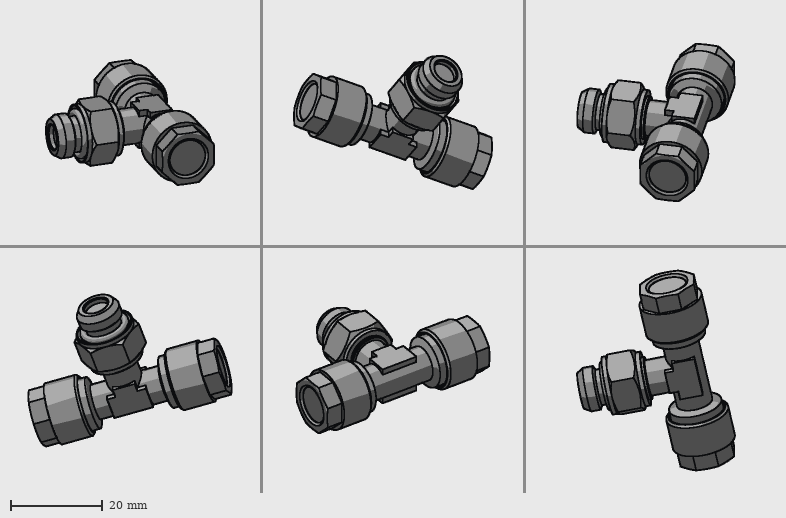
import cadquery as cq
import math

overall_length = 43.2
half_length = overall_length / 2
tube_radius = 8.0 / 2
tube_half_length = half_length / 2

pad_reach = 4.5
pad_half_width = 2.55

octagon_sides = 8
octagon_flats = 12.1
octagon_length = 3.95
octagon_chamfer_radius = 5.88
octagon_chamfer_angle = 15.0
sleeve_radius = 7.0
sleeve_length = 7.55
sleeve_chamfer = 0.5
collar_radius = 5.9
collar_length = 1.6
collar_edge_length = 0.28
collar_edge_depth = 0.55
collar_edge_radius = 1.2
collar_cone_angle = 15.0
sleeve_recess_radius = 6.2
sleeve_recess_depth = 1.3
socket_radius = 4.15
socket_depth = 0.6
socket_rounding = 0.5

branch_end = 23.9
step_ring_start = 8.7
step_ring_radius = 4.8
step_ring_chamfer = 0.17
washer_start = 9.37
washer_radius = 6.05
hex_start = 10.4
hex_end = 16.85
hex_sides = 6
hex_flats = 12.95
hex_chamfer_angle = 30.0
flange_radius = hex_flats / 2
flange_end = 17.9
seal_section_radius = 1.6 / 2
seal_recess_radius = 6.18
seal_recess_depth = 0.7
seal_recess_angle = 40.0
thread_start = 19.85
thread_radius = 9.8 / 2
thread_start_chamfer = 0.48
tip_chamfer_length = 1.45
tip_radius = 4.0
port_radius = 2.7
port_depth = 1.3
port_chamfer = 0.25


def revolve_about_x(profile):
    """Revolve an XY profile a full turn about the X axis."""
    return profile.close().revolve(360, (0, 0, 0), (1, 0, 0))


def revolve_about_y(profile):
    """Revolve an XY profile a full turn about the Y axis."""
    return profile.close().revolve(360, (0, 0, 0), (0, 1, 0))


def make_pads():
    """T-shaped block whose flat faces stand above and below the tubes."""
    run_pad = cq.Workplane("XY").box(2 * pad_reach, 2 * pad_half_width, 2 * pad_reach)
    branch_pad = cq.Workplane("XY", origin=(0, -pad_reach / 2, 0)).box(
        2 * pad_half_width, pad_reach, 2 * pad_reach
    )
    return run_pad.union(branch_pad)


def make_octagon():
    """Octagonal nut end with its outer corners turned off by a cone."""
    octagon_start = half_length - octagon_length
    corner_diameter = octagon_flats / math.cos(math.pi / octagon_sides)
    octagon = (
        cq.Workplane("YZ", origin=(octagon_start, 0, 0))
        .transformed(rotate=(0, 0, 180 / octagon_sides))
        .polygon(octagon_sides, corner_diameter)
        .extrude(octagon_length)
    )
    cone_radius = octagon_chamfer_radius + octagon_length / math.tan(math.radians(octagon_chamfer_angle))
    cone = revolve_about_x(
        cq.Workplane("XY")
        .moveTo(octagon_start, 0)
        .lineTo(octagon_start, cone_radius)
        .lineTo(half_length, octagon_chamfer_radius)
        .lineTo(half_length, 0)
    )
    return octagon.intersect(cone)


def make_run_end():
    """Collar, sleeve and octagonal nut on the +X end of the run."""
    sleeve_outer = half_length - octagon_length
    sleeve_inner = sleeve_outer - sleeve_length
    recess_floor = sleeve_inner + sleeve_recess_depth
    collar_edge_end = sleeve_inner - collar_length
    cone_outer_radius = collar_radius - collar_edge_depth
    cone_length = (cone_outer_radius - tube_radius) * math.tan(math.radians(collar_cone_angle))
    edge_start = collar_edge_end - collar_edge_length
    turned = revolve_about_x(
        cq.Workplane("XY")
        .moveTo(edge_start - cone_length, 0)
        .lineTo(edge_start - cone_length, tube_radius)
        .lineTo(edge_start, cone_outer_radius)
        .radiusArc((collar_edge_end, collar_radius), collar_edge_radius)
        .lineTo(recess_floor, collar_radius)
        .lineTo(recess_floor, sleeve_recess_radius)
        .lineTo(sleeve_inner, sleeve_recess_radius)
        .lineTo(sleeve_inner, sleeve_radius - sleeve_chamfer)
        .lineTo(sleeve_inner + sleeve_chamfer, sleeve_radius)
        .lineTo(sleeve_outer, sleeve_radius)
        .lineTo(sleeve_outer, 0)
    )
    socket_floor = half_length - socket_depth
    socket = revolve_about_x(
        cq.Workplane("XY")
        .moveTo(half_length, 0)
        .lineTo(half_length, socket_radius + socket_rounding)
        .radiusArc((half_length - socket_rounding, socket_radius), -socket_rounding)
        .lineTo(socket_floor, socket_radius)
        .lineTo(socket_floor, 0)
    )
    return turned.union(make_octagon()).cut(socket)


def make_hex():
    """Hexagonal nut of the branch, corners turned off by a cone at each end."""
    slope = math.tan(math.radians(hex_chamfer_angle))
    corner_radius = hex_flats / 2 / math.cos(math.pi / hex_sides)
    first_cone_length = (corner_radius - washer_radius) * slope
    second_cone_length = (corner_radius - flange_radius) * slope
    hexagon = (
        cq.Workplane("XZ", origin=(0, -hex_start, 0))
        .polygon(hex_sides, 2 * corner_radius)
        .extrude(hex_end - hex_start)
    )
    envelope = revolve_about_y(
        cq.Workplane("XY")
        .moveTo(0, -hex_start)
        .lineTo(washer_radius, -hex_start)
        .lineTo(corner_radius, -hex_start - first_cone_length)
        .lineTo(corner_radius, -hex_end + second_cone_length)
        .lineTo(flange_radius, -hex_end)
        .lineTo(0, -hex_end)
    )
    return hexagon.intersect(envelope)


def make_branch():
    """Washers, hexagon, seal and threaded tip along the -Y branch."""
    seal_centre_radius = tube_radius + seal_section_radius
    seal_tip = flange_end + seal_section_radius
    recess_floor = flange_end - seal_recess_depth
    recess_floor_radius = seal_recess_radius - seal_recess_depth * math.tan(math.radians(seal_recess_angle))
    seal_foot_radius = seal_centre_radius + math.sqrt(seal_section_radius**2 - seal_recess_depth**2)
    turned = revolve_about_y(
        cq.Workplane("XY")
        .moveTo(0, 0)
        .lineTo(tube_radius, 0)
        .lineTo(tube_radius, -step_ring_start)
        .lineTo(step_ring_radius - step_ring_chamfer, -step_ring_start)
        .lineTo(step_ring_radius, -step_ring_start - step_ring_chamfer)
        .lineTo(step_ring_radius, -washer_start)
        .lineTo(washer_radius, -washer_start)
        .lineTo(washer_radius, -hex_end)
        .lineTo(flange_radius, -hex_end)
        .lineTo(flange_radius, -flange_end)
        .lineTo(seal_recess_radius, -flange_end)
        .lineTo(recess_floor_radius, -recess_floor)
        .lineTo(seal_foot_radius, -recess_floor)
        .threePointArc((seal_centre_radius, -seal_tip), (tube_radius, -flange_end))
        .lineTo(tube_radius, -thread_start)
        .lineTo(thread_radius, -thread_start - thread_start_chamfer)
        .lineTo(thread_radius, -branch_end + tip_chamfer_length)
        .lineTo(tip_radius, -branch_end)
        .lineTo(0, -branch_end)
    )
    port = revolve_about_y(
        cq.Workplane("XY")
        .moveTo(0, -branch_end)
        .lineTo(port_radius + port_chamfer, -branch_end)
        .lineTo(port_radius, -branch_end + port_chamfer)
        .lineTo(port_radius, -branch_end + port_depth)
        .lineTo(0, -branch_end + port_depth)
    )
    return turned.union(make_hex()).cut(port)


run_tube = cq.Workplane("YZ").circle(tube_radius).extrude(tube_half_length, both=True)
run_end = make_run_end()

result = (
    run_tube
    .union(make_branch())
    .union(make_pads())
    .union(run_end)
    .union(run_end.mirror("YZ"))
)